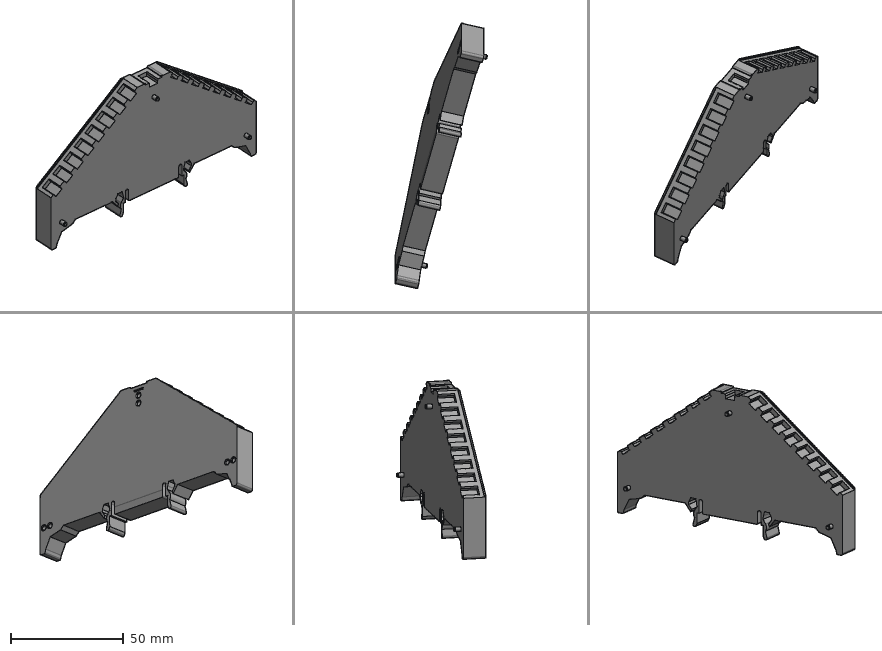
import cadquery as cq
import math

THICKNESS = 10.2
LENGTH = 120.0
HEIGHT = 65.6
HALF_LENGTH = LENGTH / 2

END_WALL_TOP_Z = 28.2
ROOF_HALF_WIDTH = 9.6
SLOPE_RISE = HEIGHT - END_WALL_TOP_Z
SLOPE_RUN = HALF_LENGTH - ROOF_HALF_WIDTH
SLOPE_ANGLE = math.atan2(SLOPE_RISE, SLOPE_RUN)

LIP_WIDTH = 0.73
LIP_HEIGHT = 0.6
LIP_CORNER_RADIUS = 1.5

BASE_Z = 10.5
FOOT_RADIUS = 1.0
FOOT_TIP_RADIUS = 0.5
FOOT_INNER_Y = 56.8
FOOT_KNEE = (56.4, 2.0)
FOOT_TOP = (53.7, 7.2)
RAMP_BOTTOM = (47.4, 8.8)
RAMP_TOP_Y = 45.6
TONGUE_HALF_WIDTH = 14.65
TONGUE_BOTTOM_Z = 6.95
TONGUE_RADIUS = 0.5
SLOT_WIDTH = 1.9
SLOT_TOP_Z = 13.5
SLOT_OUTER_Y = TONGUE_HALF_WIDTH + SLOT_WIDTH
DRAFT_ANGLE = math.radians(1.0)

HOOK_LEG_INNER_Y = 17.6
HOOK_LEG_TAPER_Z = 2.0
HOOK_TIP_INNER = (18.1, 0.9)
HOOK_TIP_LOW = (19.1, 0.4)
HOOK_TIP_OUTER = (19.7, 1.5)
HOOK_NECK = (18.9, 4.5)
HOOK_BULGE = (19.45, 6.3)
HOOK_BULGE_TOP = (19.0, 7.9)
HOOK_OPENING_INNER = ((17.6, 9.8), (17.8, 11.4), (18.4, SLOT_TOP_Z))
HOOK_OPENING_OUTER = ((20.9, SLOT_TOP_Z), (22.0, 11.4), (22.0, 10.1))
PRONG_TIP = ((20.5, 8.1), (21.0, 6.9))
PRONG_OUTER_Y = 23.9

POCKET_COUNT = 8
POCKET_PITCH = 7.75
POCKET_LENGTH = 4.95
POCKET_START = 1.7
POCKET_WALL_X = 2.6
POCKET_DEPTH = 2.2
POCKET_FLARE_DEPTH = 0.9
POCKET_FLARE_WIDTH = 0.3
ROOF_POCKET_LENGTH = 5.2

NOTCH_HALF_WIDTH = 4.75
NOTCH_DEPTH = 0.7
NOTCH_ROUND_RUN = 0.85
NOTCH_ROUND_DROP = 0.45
NOTCH_ROUND_END_X = 9.8

PIN_DIAMETER = 2.1
PIN_LENGTH = 3.0
PIN_ROOT = 1.0
PIN_CHAMFER_LENGTH = 0.5
PIN_CHAMFER_DEPTH = 0.25
END_PIN_Y = 53.9
END_PIN_Z = 12.7
TOP_PIN_Z = 56.5
SOCKET_MOUTH_DIAMETER = 2.9
SOCKET_DEPTH = PIN_LENGTH
SOCKET_SPACING = 3.8
SOCKET_LINK_HEIGHT = 0.8
SOCKET_LINK_DEPTH = 0.5

SLIT_WIDTH = 5.5
SLIT_BOTTOM_WIDTH = 4.8
SLIT_HEIGHT = 0.75
SLIT_Z = 62.9
SLIT_DEPTH = 1.0


def mirrored(half):
    """Join a shape with its mirror image across Y = 0."""
    return half.union(half.mirror("XZ"))


def half_plate():
    """The +Y half of the plate, with its foot, snap hook and half of the tongue."""
    slot_mid_y = TONGUE_HALF_WIDTH + SLOT_WIDTH / 2
    slot_spring_z = SLOT_TOP_Z - SLOT_WIDTH / 2
    outline = (
        cq.Workplane("YZ")
        .moveTo(0, HEIGHT)
        .lineTo(0, TONGUE_BOTTOM_Z)
        .lineTo(TONGUE_HALF_WIDTH - TONGUE_RADIUS, TONGUE_BOTTOM_Z)
        .radiusArc((TONGUE_HALF_WIDTH, TONGUE_BOTTOM_Z + TONGUE_RADIUS), -TONGUE_RADIUS)
        .lineTo(TONGUE_HALF_WIDTH, slot_spring_z)
        .threePointArc((slot_mid_y, SLOT_TOP_Z), (SLOT_OUTER_Y, slot_spring_z))
        .lineTo(SLOT_OUTER_Y, TONGUE_BOTTOM_Z)
        .lineTo(HOOK_LEG_INNER_Y, TONGUE_BOTTOM_Z)
        .lineTo(HOOK_LEG_INNER_Y, HOOK_LEG_TAPER_Z)
        .lineTo(*HOOK_TIP_INNER)
        .threePointArc(HOOK_TIP_LOW, HOOK_TIP_OUTER)
        .lineTo(*HOOK_NECK)
        .threePointArc(HOOK_BULGE, HOOK_BULGE_TOP)
    )
    for point in HOOK_OPENING_INNER + HOOK_OPENING_OUTER + PRONG_TIP:
        outline = outline.lineTo(*point)
    outline = (
        outline.lineTo(PRONG_OUTER_Y, BASE_Z)
        .lineTo(RAMP_TOP_Y, BASE_Z)
        .lineTo(*RAMP_BOTTOM)
        .lineTo(*FOOT_TOP)
        .lineTo(*FOOT_KNEE)
        .lineTo(FOOT_INNER_Y, FOOT_TIP_RADIUS)
        .radiusArc((FOOT_INNER_Y + FOOT_TIP_RADIUS, 0), -FOOT_TIP_RADIUS)
        .lineTo(HALF_LENGTH - FOOT_RADIUS, 0)
        .radiusArc((HALF_LENGTH, FOOT_RADIUS), -FOOT_RADIUS)
        .lineTo(HALF_LENGTH, END_WALL_TOP_Z)
        .lineTo(ROOF_HALF_WIDTH, HEIGHT)
        .close()
    )
    return outline.extrude(THICKNESS)


def draft_wedge():
    """Cutter that tapers the -X face of the tongue and the hooks below the base."""
    return (
        cq.Workplane("XZ", origin=(0, PRONG_OUTER_Y, 0))
        .moveTo(0, BASE_Z)
        .lineTo(0, 0)
        .lineTo(BASE_Z * math.tan(DRAFT_ANGLE), 0)
        .close()
        .extrude(2 * PRONG_OUTER_Y)
    )


def half_lip():
    """Raised lip on the -X edge of the +Y shoulder, rounded into end wall and roof."""
    bottom_z = END_WALL_TOP_Z + LIP_HEIGHT / math.cos(SLOPE_ANGLE)
    top_y = ROOF_HALF_WIDTH + LIP_HEIGHT / math.sin(SLOPE_ANGLE)
    lip = (
        cq.Workplane("YZ")
        .moveTo(0, END_WALL_TOP_Z - LIP_CORNER_RADIUS)
        .lineTo(HALF_LENGTH, END_WALL_TOP_Z - LIP_CORNER_RADIUS)
        .lineTo(HALF_LENGTH, bottom_z)
        .lineTo(top_y, HEIGHT)
        .lineTo(0, HEIGHT)
        .close()
        .extrude(LIP_WIDTH)
    )
    middle_x = LIP_WIDTH / 2
    for corner in ((middle_x, HALF_LENGTH, bottom_z), (middle_x, top_y, HEIGHT)):
        corner_edge = cq.selectors.NearestToPointSelector(corner)
        lip = lip.edges(corner_edge).fillet(LIP_CORNER_RADIUS)
    return lip


def flared_pocket(length):
    """Cutter for a pocket open to +X: mouth centred on the origin, both Y ends flared."""
    across_x = THICKNESS - POCKET_WALL_X
    half_mouth = length / 2
    half_floor = half_mouth - POCKET_FLARE_WIDTH
    return (
        cq.Workplane("YZ", origin=(POCKET_WALL_X, 0, 0))
        .moveTo(-half_mouth, 0)
        .lineTo(-half_floor, -POCKET_FLARE_DEPTH)
        .lineTo(-half_floor, -POCKET_DEPTH)
        .lineTo(half_floor, -POCKET_DEPTH)
        .lineTo(half_floor, -POCKET_FLARE_DEPTH)
        .lineTo(half_mouth, 0)
        .close()
        .extrude(across_x)
    )


def half_shoulder_pockets():
    """Cutters for the row of pockets down the +Y shoulder."""
    tilted = flared_pocket(POCKET_LENGTH).rotate(
        (0, 0, 0), (1, 0, 0), -math.degrees(SLOPE_ANGLE)
    )
    cutters = cq.Workplane("YZ")
    for index in range(POCKET_COUNT):
        distance = POCKET_START + POCKET_LENGTH / 2 + index * POCKET_PITCH
        y = HALF_LENGTH - distance * math.cos(SLOPE_ANGLE)
        z = END_WALL_TOP_Z + distance * math.sin(SLOPE_ANGLE)
        cutters = cutters.add(tilted.translate((0, y, z)))
    return cutters.combine()


def roof_notch():
    """Cutter for the notch: square at the +X edge, rounded shoulders over the rest."""
    floor_z = HEIGHT - NOTCH_DEPTH
    round_z = HEIGHT - NOTCH_ROUND_DROP
    square = cq.Workplane("XY").box(
        THICKNESS, 2 * NOTCH_HALF_WIDTH, NOTCH_DEPTH, centered=(False, True, False)
    )
    radius = (NOTCH_ROUND_RUN**2 + NOTCH_ROUND_DROP**2) / (2 * NOTCH_ROUND_DROP)
    outer_y = NOTCH_HALF_WIDTH + NOTCH_ROUND_RUN
    rounded = (
        cq.Workplane("YZ")
        .moveTo(-NOTCH_HALF_WIDTH, floor_z)
        .lineTo(NOTCH_HALF_WIDTH, floor_z)
        .lineTo(NOTCH_HALF_WIDTH, round_z)
        .radiusArc((outer_y, HEIGHT), radius)
        .lineTo(-outer_y, HEIGHT)
        .radiusArc((-NOTCH_HALF_WIDTH, round_z), radius)
        .close()
        .extrude(NOTCH_ROUND_END_X)
    )
    return square.translate((0, 0, floor_z)).union(rounded)


def pin(y, z):
    """Pin on the +X face with a tapered tip, rooted inside the plate."""
    radius = PIN_DIAMETER / 2
    straight = PIN_ROOT + PIN_LENGTH - PIN_CHAMFER_LENGTH
    return (
        cq.Workplane("XY")
        .lineTo(0, radius)
        .lineTo(straight, radius)
        .lineTo(straight + PIN_CHAMFER_LENGTH, radius - PIN_CHAMFER_DEPTH)
        .lineTo(straight + PIN_CHAMFER_LENGTH, 0)
        .close()
        .revolve(360, (0, 0, 0), (1, 0, 0))
        .translate((THICKNESS - PIN_ROOT, y, z))
    )


def socket(y, z):
    """Cutter for a blind, countersunk round hole in the -X face."""
    bore_radius = PIN_DIAMETER / 2
    mouth_radius = SOCKET_MOUTH_DIAMETER / 2
    return (
        cq.Workplane("XY")
        .lineTo(0, mouth_radius)
        .lineTo(mouth_radius - bore_radius, bore_radius)
        .lineTo(SOCKET_DEPTH, bore_radius)
        .lineTo(SOCKET_DEPTH, 0)
        .close()
        .revolve(360, (0, 0, 0), (1, 0, 0))
        .translate((0, y, z))
    )


def half_end_sockets():
    """Cutter for the two linked sockets near the +Y end."""
    outer_y = END_PIN_Y + SOCKET_SPACING
    link = cq.Workplane("XY").box(
        SOCKET_LINK_DEPTH, SOCKET_SPACING, SOCKET_LINK_HEIGHT, centered=(False, True, True)
    )
    link = link.translate((0, (END_PIN_Y + outer_y) / 2, END_PIN_Z))
    return socket(END_PIN_Y, END_PIN_Z).union(socket(outer_y, END_PIN_Z)).union(link)


def slit():
    """Cutter for the flat slit, slightly narrower along its lower edge."""
    half_height = SLIT_HEIGHT / 2
    return (
        cq.Workplane("YZ")
        .moveTo(-SLIT_BOTTOM_WIDTH / 2, SLIT_Z - half_height)
        .lineTo(SLIT_BOTTOM_WIDTH / 2, SLIT_Z - half_height)
        .lineTo(SLIT_WIDTH / 2, SLIT_Z + half_height)
        .lineTo(-SLIT_WIDTH / 2, SLIT_Z + half_height)
        .close()
        .extrude(SLIT_DEPTH)
    )


plate = mirrored(half_plate().union(half_lip()))
plate = plate.cut(draft_wedge())

plate = plate.cut(mirrored(half_shoulder_pockets()))
plate = plate.cut(roof_notch())
plate = plate.cut(flared_pocket(ROOF_POCKET_LENGTH).translate((0, 0, HEIGHT - NOTCH_DEPTH)))

plate = plate.cut(mirrored(half_end_sockets()))
plate = plate.cut(socket(0, TOP_PIN_Z))
plate = plate.cut(socket(0, TOP_PIN_Z + SOCKET_SPACING))
plate = plate.cut(slit())

for pin_y, pin_z in ((-END_PIN_Y, END_PIN_Z), (0, TOP_PIN_Z), (END_PIN_Y, END_PIN_Z)):
    plate = plate.union(pin(pin_y, pin_z))

result = plate